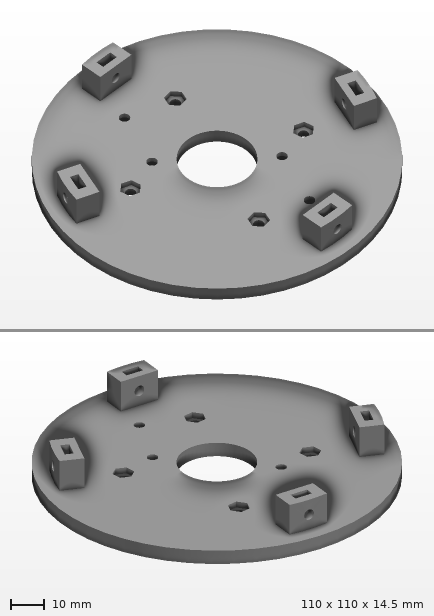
import cadquery as cq
import math

plate_diameter = 110.0
plate_thickness = 4.5
bore_diameter = 24.0

screw_diameter = 3.4
nut_corner_diameter = 6.7
nut_flat_width = nut_corner_diameter * math.cos(math.radians(30))

pocket_radius = 28.5
pocket_depth = 2.0
pocket_angles = (45, 135, 225, 315)

hole_outer_x = 31.7
hole_inner_x = 17.8
hole_y = 7.5
head_diameter = 5.9
head_depth = 3.0

block_height = 10.0
block_width = 13.2
block_inner_distance = 41.9
block_outer_radius = 49.9
block_angles = (45, 155, 225, 335)
slot_thickness = 2.8
block_screw_z = plate_thickness + block_height / 2
block_top_z = plate_thickness + block_height


def make_plate():
    """Disc with the central bore, the nut pockets and the screw holes counterbored from below."""
    plate = (
        cq.Workplane("XY")
        .circle(plate_diameter / 2)
        .circle(bore_diameter / 2)
        .extrude(plate_thickness)
    )
    for angle in pocket_angles:
        plate = plate.cut(make_nut_pocket().rotate((0, 0, 0), (0, 0, 1), angle))
    hole_points = [
        (-hole_outer_x, hole_y),
        (hole_inner_x, hole_y),
        (-hole_inner_x, -hole_y),
        (hole_outer_x, -hole_y),
    ]
    holes = cq.Workplane("XY").pushPoints(hole_points).circle(screw_diameter / 2).extrude(plate_thickness)
    heads = cq.Workplane("XY").pushPoints(hole_points).circle(head_diameter / 2).extrude(head_depth)
    return plate.cut(holes).cut(heads)


def make_nut_pocket():
    """Hexagonal recess over a through hole, on +X with a hexagon corner pointing at the centre."""
    hole = cq.Workplane("XY").center(pocket_radius, 0).circle(screw_diameter / 2).extrude(plate_thickness)
    recess = (
        cq.Workplane("XY", origin=(0, 0, plate_thickness - pocket_depth))
        .center(pocket_radius, 0)
        .polygon(6, nut_corner_diameter)
        .extrude(pocket_depth)
    )
    return hole.union(recess)


def make_block():
    """Block on +X with a curved outer face, a radial screw hole and a nut slot open at the top."""
    half_width = block_width / 2
    outer_corner_x = math.sqrt(block_outer_radius**2 - half_width**2)
    block = (
        cq.Workplane("XY", origin=(0, 0, plate_thickness))
        .moveTo(block_inner_distance, -half_width)
        .lineTo(outer_corner_x, -half_width)
        .threePointArc((block_outer_radius, 0), (outer_corner_x, half_width))
        .lineTo(block_inner_distance, half_width)
        .close()
        .extrude(block_height)
    )

    screw_hole = (
        cq.Workplane("YZ", origin=(block_inner_distance, 0, block_screw_z))
        .circle(screw_diameter / 2)
        .extrude(block_outer_radius - block_inner_distance)
    )

    half_nut = nut_flat_width / 2
    nut_corner_radius = nut_corner_diameter / 2
    slot_start_x = (block_inner_distance + outer_corner_x - slot_thickness) / 2
    slot = (
        cq.Workplane("YZ", origin=(slot_start_x, 0, 0))
        .moveTo(-half_nut, block_top_z)
        .lineTo(-half_nut, block_screw_z - nut_corner_radius / 2)
        .lineTo(0, block_screw_z - nut_corner_radius)
        .lineTo(half_nut, block_screw_z - nut_corner_radius / 2)
        .lineTo(half_nut, block_top_z)
        .close()
        .extrude(slot_thickness)
    )
    return block.cut(screw_hole).cut(slot)


result = make_plate()
for block_angle in block_angles:
    result = result.union(make_block().rotate((0, 0, 0), (0, 0, 1), block_angle))